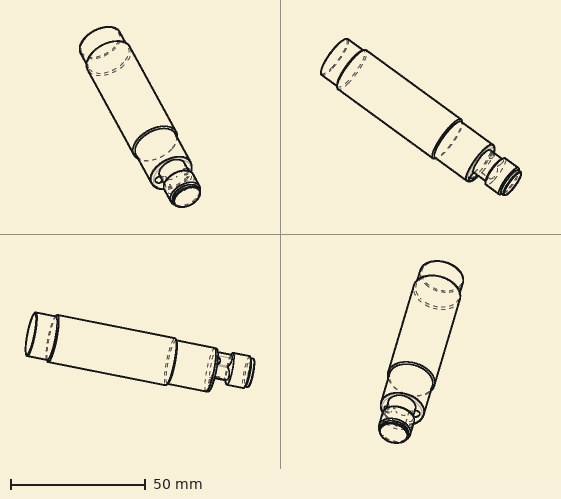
import cadquery as cq
import math

OVERALL_LENGTH = 84.5

BARREL_RADIUS = 8.3
NOSE_FACE_RADIUS = 7.8
NOSE_CHAMFER_LENGTH = 0.25
SLEEVE_RADIUS = 8.95
SLEEVE_START = 7.95
SLEEVE_END = 54.0
SLEEVE_CHAMFER_LENGTH = 0.5
CAP_START = 68.9
CAP_END = 69.9
CAP_STEP = 0.1
CAP_FILLET = 0.6

CONNECTOR_OFFSET = 2.7
NECK_RADIUS = 5.2
COUPLING_RADIUS = 6.1
COUPLING_START = 75.9
COUPLING_END = 83.2
COUPLING_CHAMFER_LENGTH = 0.5
CONE_TIP_RADIUS = 2.5
END_RING_RADIUS = 5.4
END_RING_CHAMFER = 0.25

SHOULDER_RADIUS = 2.3
LOBE_RADIUS = NECK_RADIUS / 2
ROOT_RADIUS = NECK_RADIUS - SHOULDER_RADIUS - LOBE_RADIUS
NECK_OVERLAP = 0.85

LAMP_RADIUS = 1.5
LAMP_SPACING = 10.6
LAMP_HEIGHT = -0.4
LAMP_CENTRE = 69.7
LAMP_STEM_LENGTH = 1.7


def revolve_about_x(profile):
    """Turn a profile of (x, radius) points about the X axis."""
    return cq.Workplane("XY").polyline(profile).close().revolve(360, (0, 0, 0), (1, 0, 0))


def make_barrel():
    cap_radius = BARREL_RADIUS - CAP_STEP
    body = revolve_about_x([
        (0, 0),
        (0, NOSE_FACE_RADIUS),
        (NOSE_CHAMFER_LENGTH, BARREL_RADIUS),
        (SLEEVE_START, BARREL_RADIUS),
        (SLEEVE_START + SLEEVE_CHAMFER_LENGTH, SLEEVE_RADIUS),
        (SLEEVE_END - SLEEVE_CHAMFER_LENGTH, SLEEVE_RADIUS),
        (SLEEVE_END, BARREL_RADIUS),
        (CAP_START, BARREL_RADIUS),
        (CAP_START, cap_radius),
        (CAP_END, cap_radius),
        (CAP_END, 0),
    ])
    return body.faces(">X").edges().fillet(CAP_FILLET)


def make_neck():
    shoulder_y = NECK_RADIUS - SHOULDER_RADIUS
    lobe_z = LOBE_RADIUS - NECK_RADIUS
    shoulder_mid = SHOULDER_RADIUS * math.sqrt(0.5)
    root_mid = ROOT_RADIUS * math.sqrt(0.5)
    section = (
        cq.Workplane("YZ", origin=(CAP_END - NECK_OVERLAP, 0, CONNECTOR_OFFSET))
        .moveTo(-NECK_RADIUS, 0)
        .threePointArc((0, NECK_RADIUS), (NECK_RADIUS, 0))
        .threePointArc((shoulder_y + shoulder_mid, -shoulder_mid), (shoulder_y, -SHOULDER_RADIUS))
        .threePointArc((shoulder_y - root_mid, lobe_z + root_mid), (LOBE_RADIUS, lobe_z))
        .threePointArc((0, -NECK_RADIUS), (-LOBE_RADIUS, lobe_z))
        .threePointArc((root_mid - shoulder_y, lobe_z + root_mid), (-shoulder_y, -SHOULDER_RADIUS))
        .threePointArc((-shoulder_y - shoulder_mid, -shoulder_mid), (-NECK_RADIUS, 0))
        .close()
    )
    return section.extrude(COUPLING_START + COUPLING_CHAMFER_LENGTH - CAP_END + NECK_OVERLAP)


def make_coupling():
    cone_slope = COUPLING_CHAMFER_LENGTH / (COUPLING_RADIUS - NECK_RADIUS)
    cone_tip = COUPLING_START - cone_slope * (NECK_RADIUS - CONE_TIP_RADIUS)
    coupling = revolve_about_x([
        (cone_tip, 0),
        (cone_tip, CONE_TIP_RADIUS),
        (COUPLING_START + COUPLING_CHAMFER_LENGTH, COUPLING_RADIUS),
        (COUPLING_END - COUPLING_CHAMFER_LENGTH, COUPLING_RADIUS),
        (COUPLING_END, END_RING_RADIUS),
        (OVERALL_LENGTH - END_RING_CHAMFER, END_RING_RADIUS),
        (OVERALL_LENGTH, END_RING_RADIUS - END_RING_CHAMFER),
        (OVERALL_LENGTH, 0),
    ])
    return coupling.translate((0, 0, CONNECTOR_OFFSET))


def make_lamps():
    """Two domes facing +X, each on a round stem set into the barrel."""
    dome_mid = LAMP_RADIUS * math.sqrt(0.5)
    lamp = (
        cq.Workplane("XY")
        .moveTo(-LAMP_STEM_LENGTH, 0)
        .lineTo(-LAMP_STEM_LENGTH, LAMP_RADIUS)
        .lineTo(0, LAMP_RADIUS)
        .threePointArc((dome_mid, dome_mid), (LAMP_RADIUS, 0))
        .close()
        .revolve(360, (0, 0, 0), (1, 0, 0))
    )
    left, right = (
        lamp.translate((LAMP_CENTRE, side * LAMP_SPACING / 2, LAMP_HEIGHT))
        for side in (1, -1)
    )
    return left.union(right)


result = make_barrel().union(make_lamps()).union(make_neck()).union(make_coupling())